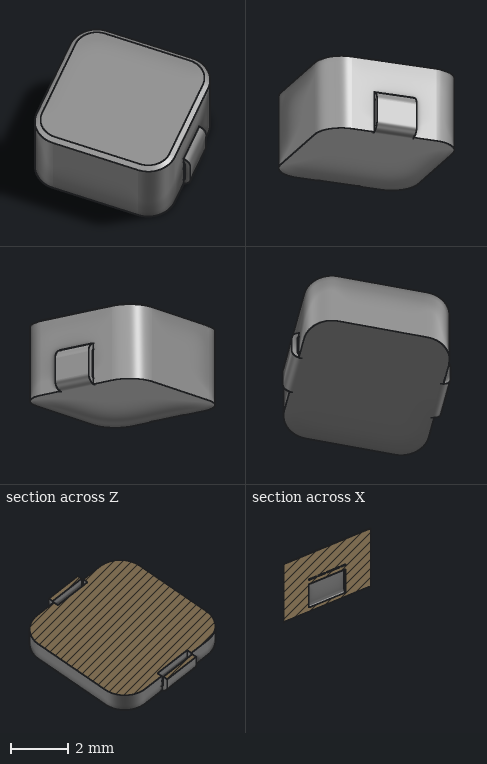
import cadquery as cq

body_side = 5.2
body_height = 2.8
corner_radius = 1.0
top_chamfer_inset = 0.2
top_chamfer_drop = 0.1

overall_length = 5.7
terminal_width = 1.5
terminal_height = 1.5
terminal_thickness = 0.2
bend_radius = 0.35
leg_straight = 0.2

recess_depth = 0.2


def make_body():
    """Square block with rounded corners and a shallow bevel round the top."""
    block = (
        cq.Workplane("XY")
        .rect(body_side, body_side)
        .extrude(body_height)
        .edges("|Z")
        .fillet(corner_radius)
    )
    top_face = block.faces(">Z").val()
    bevelled = block.val().chamfer(
        top_chamfer_drop, top_chamfer_inset, top_face.Edges()
    )
    return cq.Workplane(bevelled)


def terminal_blank(inset, radius):
    """Block with two rounded outer edges, set in by inset from the -X terminal's outer surface."""
    outer_x = -overall_length / 2
    leg_end_x = outer_x + bend_radius + leg_straight
    return (
        cq.Workplane("XY")
        .box(
            leg_end_x - outer_x - inset,
            terminal_width,
            terminal_height - 2 * inset,
            centered=(False, True, False),
        )
        .translate((outer_x + inset, 0, inset))
        .edges("<X and |Y")
        .fillet(radius)
    )


def make_terminal():
    """The -X terminal: the bent strip left between its outer and inner surfaces."""
    outer = terminal_blank(0, bend_radius)
    inner = terminal_blank(terminal_thickness, bend_radius - terminal_thickness)
    return outer.cut(inner)


def make_recess():
    """Cutter for the -X end wall recess, as wide and as tall as the terminal."""
    return (
        cq.Workplane("XY")
        .box(
            recess_depth,
            terminal_width,
            terminal_height,
            centered=(False, True, False),
        )
        .translate((-body_side / 2, 0, 0))
    )


left_recess = make_recess()
left_terminal = make_terminal()
result = (
    make_body()
    .cut(left_recess)
    .cut(left_recess.mirror("YZ"))
    .union(left_terminal)
    .union(left_terminal.mirror("YZ"))
)